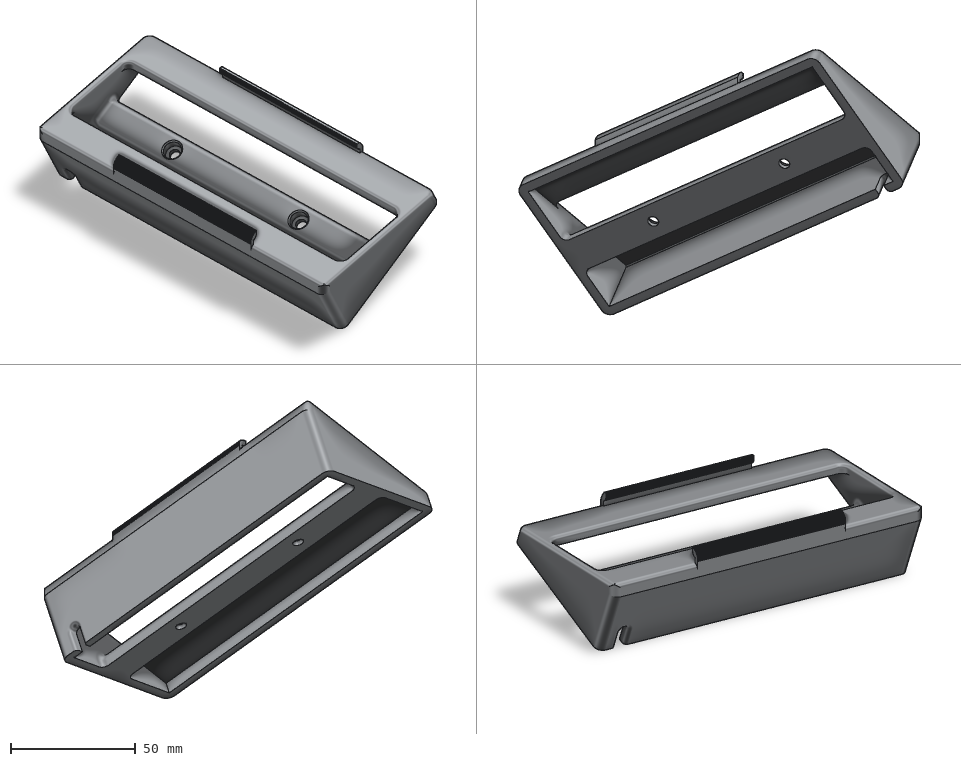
import cadquery as cq
import math

length = 148.0
depth = 74.0
top_height = 33.3
full_height = 39.5
tilt = 23.2
wall = 3.8
heel_y = -25.2
corner_radius = 3.7
edge_radius = 1.9

window_front_y = -21.2
window_back_y = 16.7
window_corner_radius = 3.5
window_edge_radius = 1.8

bar_width = 15.0
bar_thickness = 6.0
bar_radius = 3.0
bar_offset = 30.0

hole_diameter = 4.5
bore_diameter = 7.5
bore_depth = 4.0
bore_chamfer = 0.6
hole_spacing = 64.8
holes_x = -1.5

notch_x = -63.5
notch_width = 4.1
notch_height = 10.2
notch_radius = 1.9

lip_length = 70.5
lip_x = 1.0
front_lip_thickness = 1.6
front_hook_depth = 3.5
front_bend_z = 36.7
front_bulge = 0.6
back_lip_y = 34.6
back_lip_thickness = 2.0
back_hook_depth = 3.8
back_bend_z = 35.4
back_bulge = 0.3
back_tip_width = 1.3
inner_bend_z = 35.5
tip_bottom_z = 37.5
tip_bulge = 0.3

groove_pitch = 0.93
groove_depth = 0.1
front_groove_bottom_z = 34.5
back_groove_bottom_z = 35.8

tilt_sin = math.sin(math.radians(tilt))
tilt_cos = math.cos(math.radians(tilt))
front_y = -depth / 2
back_y = depth / 2
inner_x = length / 2 - wall
overlap = 2 * wall

base_normal = cq.Vector(0, -tilt_sin, tilt_cos)
front_normal = cq.Vector(0, -tilt_cos, -tilt_sin)
base_plane = cq.Plane(origin=(0, heel_y, 0), xDir=(1, 0, 0), normal=base_normal)
front_plane = cq.Plane(origin=(0, heel_y, 0), xDir=(1, 0, 0), normal=front_normal)


def on_wedge(along, up):
    """Y and Z of a point given along the tilted base from the heel, and square to it."""
    point = base_plane.toWorldCoords((0, along, up))
    return (point.y, point.z)


def wedge_section(extra_below):
    """Side outline of the wedge, with its base moved down by extra_below."""
    base_length = (back_y - heel_y) / tilt_cos
    knee_up = (heel_y - front_y) / tilt_sin
    back_up = (top_height - base_length * tilt_sin) / tilt_cos
    points = [
        on_wedge(0, -extra_below),
        on_wedge(0, knee_up),
        (front_y, top_height),
        on_wedge(base_length, back_up),
        on_wedge(base_length, -extra_below),
    ]
    return cq.Workplane("YZ").polyline(points).close()


def make_shell():
    block = wedge_section(0).extrude(length / 2, both=True)
    square_to_base = cq.selectors.ParallelDirSelector(base_normal)
    upright = cq.selectors.ParallelDirSelector(cq.Vector(0, 0, 1))
    front_half = cq.selectors.BoxSelector((-length, -depth, -depth), (length, 0, depth))

    back_rounded = block.edges(square_to_base - front_half).fillet(corner_radius)
    back_rounded = back_rounded.faces(">Z").edges().fillet(edge_radius)
    front_rounded = block.edges(square_to_base + upright).edges(front_half).fillet(corner_radius)

    cavity = wedge_section(overlap).offset2D(-wall, "intersection").extrude(inner_x, both=True)
    return back_rounded.intersect(front_rounded).cut(cavity)


def cut_window(body):
    middle_y = (window_front_y + window_back_y) / 2
    window = (
        cq.Workplane("XY", origin=(0, middle_y, top_height))
        .rect(2 * inner_x, window_back_y - window_front_y)
        .extrude(-overlap)
        .edges("|Z")
        .fillet(window_corner_radius)
    )
    body = body.cut(window)
    rim = min(body.faces(">Z").wires().vals(), key=lambda wire: wire.BoundingBox().xlen)
    return body.newObject(rim.Edges()).fillet(window_edge_radius)


def add_crossbar(body):
    bar = (
        cq.Workplane(base_plane)
        .center(0, bar_offset)
        .rect(2 * inner_x, bar_width)
        .extrude(bar_thickness)
        .faces(cq.selectors.DirectionMinMaxSelector(base_normal))
        .edges("|X")
        .fillet(bar_radius)
    )
    body = body.union(bar)

    middle_y, middle_z = on_wedge(bar_offset, bar_thickness / 2)
    reach = bar_width / 2 + bar_radius
    for wall_x in (-inner_x, inner_x):
        joint = cq.selectors.BoxSelector(
            (wall_x - wall / 2, middle_y - reach, middle_z - reach),
            (wall_x + wall / 2, middle_y + reach, middle_z + reach),
        )
        body = body.edges("not |X").edges(joint).fillet(bar_radius)
    return body


def cut_screw_holes(body):
    bore_floor = bar_thickness - bore_depth
    chamfer_start = bar_thickness - bore_chamfer
    profile = [
        (0, -overlap),
        (hole_diameter / 2, -overlap),
        (hole_diameter / 2, bore_floor),
        (bore_diameter / 2, bore_floor),
        (bore_diameter / 2, chamfer_start),
        (bore_diameter / 2 + bore_chamfer, bar_thickness),
        (0, bar_thickness),
    ]
    for x in (holes_x - hole_spacing / 2, holes_x + hole_spacing / 2):
        centre = base_plane.toWorldCoords((x, bar_offset, 0))
        axial_plane = cq.Plane(origin=centre, xDir=(1, 0, 0), normal=front_normal)
        cutter = cq.Workplane(axial_plane).polyline(profile).close().revolve(360, (0, 0), (0, 1))
        body = body.cut(cutter)
    return body


def cut_notch(body):
    half_width = notch_width / 2
    shoulder = notch_height - half_width
    notch = (
        cq.Workplane(front_plane)
        .center(notch_x, 0)
        .moveTo(-half_width, -overlap)
        .lineTo(-half_width, shoulder)
        .threePointArc((0, notch_height), (half_width, shoulder))
        .lineTo(half_width, -overlap)
        .close()
        .extrude(overlap, both=True)
    )
    body = body.cut(notch)

    outside = body.faces(cq.selectors.DirectionMinMaxSelector(front_normal))
    rim = [
        edge
        for edge in outside.edges().vals()
        if abs(edge.Center().x - notch_x) < notch_width
        and front_plane.toLocalCoords(edge.Center()).y > shoulder / 3
    ]
    return body.newObject(rim).fillet(notch_radius)


def lip_plane():
    return cq.Workplane("YZ", origin=(lip_x - lip_length / 2, 0, 0))


def make_front_lip():
    root_z = top_height - wall / 2
    inner_y = front_y + front_lip_thickness
    tip_y = front_y + front_hook_depth
    return (
        lip_plane()
        .moveTo(front_y, root_z)
        .lineTo(front_y, front_bend_z)
        .sagittaArc((tip_y, full_height), front_bulge)
        .lineTo(tip_y, tip_bottom_z)
        .sagittaArc((inner_y, inner_bend_z), tip_bulge)
        .lineTo(inner_y, root_z)
        .close()
        .extrude(lip_length)
    )


def make_back_lip():
    root_z = top_height - wall / 2
    inner_y = back_lip_y - back_lip_thickness
    tip_y = back_lip_y - back_hook_depth
    return (
        lip_plane()
        .moveTo(back_lip_y, root_z)
        .lineTo(back_lip_y, back_bend_z)
        .sagittaArc((tip_y + back_tip_width, full_height), -back_bulge)
        .lineTo(tip_y, full_height)
        .lineTo(tip_y, tip_bottom_z)
        .sagittaArc((inner_y, inner_bend_z), -tip_bulge)
        .lineTo(inner_y, root_z)
        .close()
        .extrude(lip_length)
    )


def cut_grooves(lip, bottom_z):
    """Groove the side of a lip that faces -Y, from bottom_z up to the tip."""
    skin = lip.cut(lip.translate((0, groove_depth, 0)))
    count = math.floor(lip_length / groove_pitch)
    start_x = lip_x - (count - 1) * groove_pitch / 2
    slats = (
        cq.Workplane("XY", origin=(0, 0, bottom_z))
        .pushPoints([(start_x + i * groove_pitch, 0) for i in range(count)])
        .rect(groove_pitch / 2, 2 * depth)
        .extrude(full_height)
    )
    return lip.cut(skin.intersect(slats))


body = make_shell()
body = cut_window(body)
body = add_crossbar(body)
body = cut_screw_holes(body)
body = cut_notch(body)
body = body.union(cut_grooves(make_front_lip(), front_groove_bottom_z))
result = body.union(cut_grooves(make_back_lip(), back_groove_bottom_z))